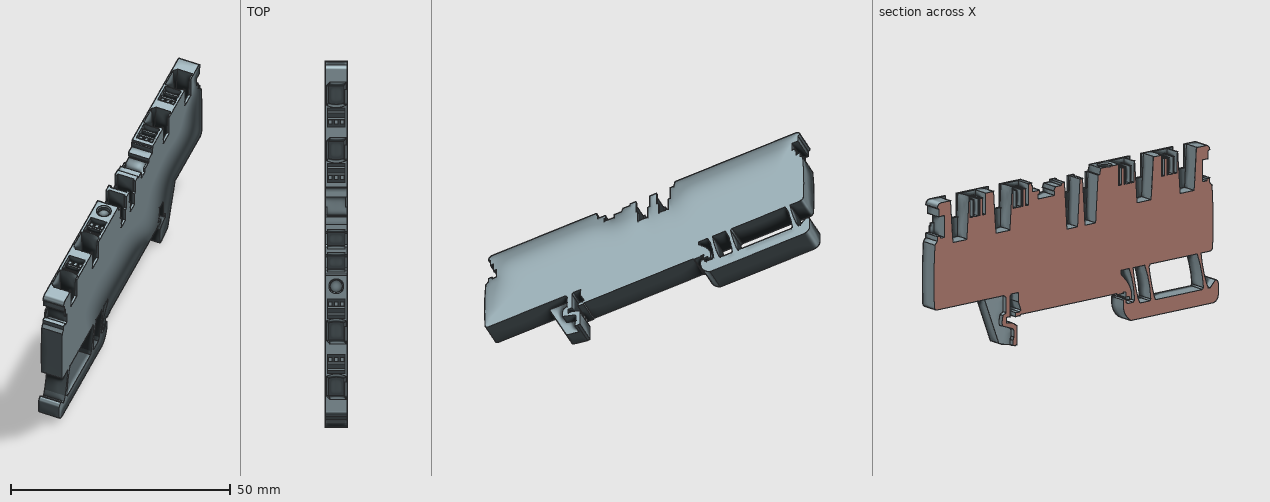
import cadquery as cq
import math

WIDTH = 5.1
LENGTH = 83.59
HEIGHT = 37.65
BODY_BOTTOM = 12.38
BODY_TOP = HEIGHT
BODY_HALF = 41.03
BODY_END = LENGTH / 2
BODY_MID = BODY_END - BODY_HALF

BODY_CORNER = 1.0
END_BOW = 0.12
END_BOW_HEIGHT = 18.0
END_SHOULDER = 27.9

CROWN_START = (1.0, 36.5)
CROWN_MIDDLE = (1.35, 37.3)
CROWN_END = (2.2, BODY_TOP)

SKIN = 0.4
INNER_WIDTH = WIDTH - 2 * SKIN
SKIN_CUT = SKIN + 0.01
LEFT_SKIN = -WIDTH / 2
RIGHT_SKIN = WIDTH / 2

END_GROOVE_BOTTOM = 29.3
END_GROOVE_TOP = 34.35
END_GROOVE_SPLIT = 31.95
END_GROOVE_DEPTH = 3.05
END_GROOVE_LIP = 2.0

SADDLE_FLOOR = 34.6
SADDLE_SHELF = 35.6
SADDLE_GROOVE_FLOOR = 33.6
SADDLE_GROOVE_START = 6.44
SADDLE_GROOVE_SPLIT = 8.46
SADDLE_GROOVE_END = 11.1
RIDGE_TOP = 36.15

SLOT_PITCH = 5.3
FIRST_SLOT = 1.14
SLOT_COUNT = 2
SLOT_WIDTH = 3.54
SLOT_NECK_WIDTH = 2.53
SLOT_FLOOR = 28.8
SLOT_STEP = 32.35
SLOT_STEP_RISE = 0.3
SLOT_RELIEF_LENGTH = 4.6
SLOT_RELIEF_FLOOR_LENGTH = 3.0
SLOT_RELIEF_FLOOR = 25.0
SLOT_RELIEF_WIDTH = 3.9

ENTRY_PITCH = 12.63
ENTRY_COUNT = 2
ENTRY_OUTER = 36.2
ENTRY_LENGTH = 5.3
ENTRY_WIDTH = 4.4
ENTRY_ARC_RISE = 0.55
ENTRY_CHAMFER = 0.8
ENTRY_DEPTH = 10.0
ENTRY_FLOOR_LENGTH = 3.9
ENTRY_FLOOR_WIDTH = 3.5
ENTRY_FLOOR_INSET = 0.9
ENTRY_FLOOR_CHAMFER = 0.1
ENTRY_FLOOR_ARC_RISE = 0.3
ENTRY_WINDOW_DEPTH = 5.5
FAR_WINDOW_START = 1.7
NEAR_WINDOW_START = 0.6
ENTRY_WINDOW_LENGTH = 3.4

CLAMP_OUTER = 30.3
CLAMP_LENGTH = 4.4
CLAMP_WIDTH = 3.9
CLAMP_DEPTH = 5.0
CLAMP_BAR_DROP = 1.0
CLAMP_BAR_LENGTH = 0.45
CLAMP_BAR_OFFSETS = (0.7, 2.2)
CLAMP_POST_OFFSET = 3.25
CLAMP_POST_LENGTH = 0.9
CLAMP_POST_WIDTH = 0.8
CLAMP_POST_PITCH = 1.35

TEST_HOLE_Y = -9.6
TEST_HOLE_DIAMETER = 2.8
TEST_HOLE_CHAMFER = 0.3
TEST_HOLE_DEPTH = 1.2

RAIL_FACE = 7.08
FOOT_WEB_RECESS = 2.0
FOOT_BAR_TOP = 3.79
FOOT_CORNER = 1.75


def plate(profile):
    """Extrude a closed YZ profile over the full width."""
    return profile.extrude(WIDTH)


def side_sketch(x=LEFT_SKIN):
    return cq.Workplane("YZ", origin=(x, 0, 0))


def block(x, y, z):
    """Box from (low, high) pairs along each axis."""
    size = (x[1] - x[0], y[1] - y[0], z[1] - z[0])
    return cq.Workplane().box(*size, centered=False).translate((x[0], y[0], z[0]))


def end_point(side, inward, z):
    """Point a given distance inward from one end of the body; side is +1 or -1 along Y."""
    return (BODY_MID + side * (BODY_HALF - inward), z)


def body_end_points(side):
    """Stepped upper end outline, upward from the shoulder; side is +1 or -1 along Y."""
    inward_and_height = [
        (0.3, END_SHOULDER),
        (1.0, 28.7),
        (1.0, 29.8),
        (END_GROOVE_LIP, 29.8),
        (END_GROOVE_LIP, 31.3),
        (2.27, 31.3),
        (2.27, END_GROOVE_TOP),
        (1.5, END_GROOVE_TOP),
        (1.5, 36.15),
        CROWN_START,
    ]
    return [end_point(side, *place) for place in inward_and_height]


def saddle_points():
    """Top edge between the two raised halves, from +Y to -Y, before the slots are cut."""
    return [
        (13.0, BODY_TOP),
        (13.0, 37.05),
        (12.75, 36.9),
        (12.75, SADDLE_SHELF),
        (10.73, SADDLE_SHELF),
        (10.73, SADDLE_FLOOR),
        (6.6, SADDLE_FLOOR),
        (6.2, SADDLE_SHELF),
        (4.42, SADDLE_SHELF),
        (4.42, RIDGE_TOP),
        (-6.82, RIDGE_TOP),
        (-7.2, BODY_TOP),
    ]


def make_body():
    """Main plate: stepped upper ends, gently bowed lower ends and rounded bottom corners."""
    far_end = body_end_points(1)
    near_end = body_end_points(-1)
    near_end.reverse()
    low = BODY_BOTTOM + BODY_CORNER
    sag = BODY_CORNER * (1 - math.sqrt(0.5))
    far = BODY_MID + BODY_HALF - END_BOW
    near = BODY_MID - BODY_HALF + END_BOW
    outline = (
        side_sketch()
        .polyline(far_end)
        .threePointArc(end_point(1, *CROWN_MIDDLE), end_point(1, *CROWN_END))
        .polyline(saddle_points(), includeCurrent=True)
        .lineTo(*end_point(-1, *CROWN_END))
        .threePointArc(end_point(-1, *CROWN_MIDDLE), near_end[0])
        .polyline(near_end)
        .threePointArc((near - END_BOW, END_BOW_HEIGHT), (near, low))
        .threePointArc((near + sag, BODY_BOTTOM + sag), (near + BODY_CORNER, BODY_BOTTOM))
        .lineTo(far - BODY_CORNER, BODY_BOTTOM)
        .threePointArc((far - sag, BODY_BOTTOM + sag), (far, low))
        .threePointArc((far + END_BOW, END_BOW_HEIGHT), far_end[0])
        .close()
    )
    return plate(outline)


def make_rail_seat():
    """Raised pad that rests on the rail, with a catch lip at each end."""
    lip_bottom = 6.82
    seat = (
        side_sketch()
        .moveTo(17.05, BODY_BOTTOM)
        .lineTo(17.05, 10.24)
        .lineTo(16.29, 8.21)
        .lineTo(16.67, 7.83)
        .lineTo(17.8, 7.83)
        .lineTo(17.8, lip_bottom)
        .lineTo(16.41, lip_bottom)
        .lineTo(16.16, RAIL_FACE)
        .lineTo(-11.87, RAIL_FACE)
        .lineTo(-12.12, lip_bottom)
        .lineTo(-13.89, lip_bottom)
        .lineTo(-13.89, RAIL_FACE)
        .lineTo(-14.52, RAIL_FACE)
        .lineTo(-14.52, 5.81)
        .lineTo(-15.53, 5.81)
        .lineTo(-15.53, 5.05)
        .lineTo(-16.29, 5.05)
        .lineTo(-16.29, 6.9)
        .threePointArc((-15.6, 8.6), (-14.39, 10.24))
        .lineTo(-13.26, 11.5)
        .lineTo(-13.26, BODY_BOTTOM)
        .close()
    )
    return plate(seat)


def make_fixed_foot():
    """Hooked foot under the +Y half; a recess in its -X face leaves a raised strip along the hook."""
    foot = (
        side_sketch()
        .moveTo(26.14, BODY_BOTTOM)
        .lineTo(21.84, 1.01)
        .lineTo(20.96, 0.63)
        .lineTo(17.93, 0)
        .lineTo(17.3, 0.13)
        .lineTo(17.3, 4.68)
        .threePointArc((18.43, 5.43), (19.7, 5.81))
        .lineTo(20.33, 5.81)
        .lineTo(20.33, RAIL_FACE)
        .lineTo(19.32, RAIL_FACE)
        .lineTo(19.32, 12.0)
        .lineTo(18.94, BODY_BOTTOM)
        .close()
    )
    recess = (
        side_sketch()
        .moveTo(27.0, BODY_BOTTOM)
        .lineTo(21.46, BODY_BOTTOM)
        .threePointArc((20.85, 12.15), (20.58, 11.5))
        .lineTo(20.58, 8.3)
        .lineTo(21.5, 7.8)
        .threePointArc((21.75, 6.6), (21.7, 5.3))
        .lineTo(18.85, 4.2)
        .threePointArc((18.42, 3.85), (18.31, 3.3))
        .lineTo(18.31, 2.15)
        .lineTo(18.56, 1.39)
        .lineTo(18.56, -1.0)
        .lineTo(27.0, -1.0)
        .close()
    )
    return plate(foot).cut(recess.extrude(FOOT_WEB_RECESS))


def make_spring_foot():
    """Sliding latch under the -Y half: a bar hung from the body on three bent legs."""
    corner_sag = FOOT_CORNER * (1 - math.sqrt(0.5))
    outline = (
        side_sketch()
        .moveTo(-15.53, BODY_BOTTOM)
        .threePointArc((-16.54, 8.9), (-17.05, 5.4))
        .lineTo(-17.05, 4.68)
        .lineTo(-16.67, 4.3)
        .lineTo(-15.15, 4.3)
        .lineTo(-14.77, 4.68)
        .lineTo(-14.77, 5.31)
        .lineTo(-14.27, 5.56)
        .lineTo(-13.76, 5.31)
        .lineTo(-13.76, 3.92)
        .threePointArc((-14.4, 1.75), (-16.16, 0))
        .lineTo(-BODY_END + FOOT_CORNER, 0)
        .threePointArc((-BODY_END + corner_sag, corner_sag), (-BODY_END, FOOT_CORNER))
        .lineTo(-BODY_END, 4.35)
        .threePointArc((-41.5, 5.1), (-40.8, 5.4))
        .lineTo(-39.6, 4.1)
        .lineTo(-39.3, FOOT_BAR_TOP)
        .lineTo(-38.89, FOOT_BAR_TOP)
        .lineTo(-38.3, 5.1)
        .threePointArc((-37.5, 7.95), (-36.74, BODY_BOTTOM))
        .close()
    )
    small_window = (
        side_sketch()
        .moveTo(-16.79, BODY_BOTTOM)
        .lineTo(-20.08, BODY_BOTTOM)
        .threePointArc((-21.3, 8.3), (-21.84, 4.17))
        .lineTo(-21.59, FOOT_BAR_TOP)
        .lineTo(-18.81, FOOT_BAR_TOP)
        .lineTo(-18.35, 4.6)
        .threePointArc((-17.5, 8.0), (-16.79, BODY_BOTTOM))
        .close()
    )
    large_window = (
        side_sketch()
        .moveTo(-21.84, BODY_BOTTOM)
        .lineTo(-35.48, BODY_BOTTOM)
        .threePointArc((-36.74, 8.1), (-37.3, 4.17))
        .lineTo(-36.99, FOOT_BAR_TOP)
        .lineTo(-23.36, FOOT_BAR_TOP)
        .lineTo(-22.98, 4.6)
        .threePointArc((-22.1, 8.2), (-21.46, 11.9))
        .close()
    )
    return plate(outline).cut(plate(small_window)).cut(plate(large_window))


def end_groove_cut(side):
    """Label groove in one end, with one window through each side skin."""
    y_floor = BODY_MID + side * (BODY_HALF - END_GROOVE_DEPTH)
    y_open = BODY_MID + side * (BODY_HALF - END_GROOVE_LIP)
    y_range = (min(y_floor, y_open), max(y_floor, y_open))
    lower = (END_GROOVE_BOTTOM, END_GROOVE_SPLIT)
    upper = (END_GROOVE_SPLIT, END_GROOVE_TOP)
    left_window, right_window = (lower, upper) if side > 0 else (upper, lower)
    groove = block((-INNER_WIDTH / 2, INNER_WIDTH / 2), y_range, (END_GROOVE_BOTTOM, END_GROOVE_TOP))
    left = block((LEFT_SKIN, LEFT_SKIN + SKIN_CUT), y_range, left_window)
    right = block((RIGHT_SKIN - SKIN_CUT, RIGHT_SKIN), y_range, right_window)
    return groove.union(left).union(right)


def saddle_groove_cut():
    """Label groove in the saddle floor, with one window through each side skin."""
    z_range = (SADDLE_GROOVE_FLOOR, SADDLE_FLOOR)
    far = (SADDLE_GROOVE_SPLIT, SADDLE_GROOVE_END)
    near = (SADDLE_GROOVE_START, SADDLE_GROOVE_SPLIT)
    whole = (SADDLE_GROOVE_START, SADDLE_GROOVE_END)
    groove = block((-INNER_WIDTH / 2, INNER_WIDTH / 2), whole, z_range)
    left = block((LEFT_SKIN, LEFT_SKIN + SKIN_CUT), far, z_range)
    right = block((RIGHT_SKIN - SKIN_CUT, RIGHT_SKIN), near, z_range)
    return groove.union(left).union(right)


def jumper_slot_cut(y):
    """Through slot with a narrower neck; a deeper tapered relief leaves thin frames at both sides."""
    half_top = SLOT_WIDTH / 2
    half_neck = SLOT_NECK_WIDTH / 2
    step_high = SLOT_STEP + SLOT_STEP_RISE / 2
    step_low = SLOT_STEP - SLOT_STEP_RISE / 2
    through_outline = [
        (y - half_top, BODY_TOP),
        (y - half_top, step_high),
        (y - half_neck, step_low),
        (y - half_neck, SLOT_FLOOR),
        (y + half_neck, SLOT_FLOOR),
        (y + half_neck, step_low),
        (y + half_top, step_high),
        (y + half_top, BODY_TOP),
    ]
    relief_outline = [
        (y - SLOT_RELIEF_LENGTH / 2, BODY_TOP),
        (y - SLOT_RELIEF_FLOOR_LENGTH / 2, SLOT_RELIEF_FLOOR),
        (y + SLOT_RELIEF_FLOOR_LENGTH / 2, SLOT_RELIEF_FLOOR),
        (y + SLOT_RELIEF_LENGTH / 2, BODY_TOP),
    ]
    through = plate(side_sketch().polyline(through_outline).close())
    relief = side_sketch(-SLOT_RELIEF_WIDTH / 2).polyline(relief_outline).close()
    return through.union(relief.extrude(SLOT_RELIEF_WIDTH))


def wire_entry_cut(outer, window_start):
    """Tapered funnel with a window through the +X side, placed by its outer distance from the middle."""
    y_outer = BODY_MID + outer
    y_inner = y_outer - ENTRY_LENGTH
    half = ENTRY_WIDTH / 2
    floor_outer = y_outer - ENTRY_FLOOR_INSET
    floor_inner = floor_outer - ENTRY_FLOOR_LENGTH
    floor_half = ENTRY_FLOOR_WIDTH / 2

    def mouth(plane, x, y_high, y_low, chamfer, rise):
        return (
            plane.moveTo(x, y_high)
            .lineTo(-x + chamfer, y_high)
            .lineTo(-x, y_high - chamfer)
            .lineTo(-x, y_low)
            .threePointArc((0, y_low - rise), (x, y_low))
            .close()
        )

    top = cq.Workplane("XY", origin=(0, 0, BODY_TOP))
    sketch = mouth(top, half, y_outer, y_inner, ENTRY_CHAMFER, ENTRY_ARC_RISE)
    bottom = sketch.workplane(offset=-ENTRY_DEPTH)
    funnel = mouth(
        bottom, floor_half, floor_outer, floor_inner, ENTRY_FLOOR_CHAMFER, ENTRY_FLOOR_ARC_RISE
    ).loft(ruled=True)
    window_end = y_outer - window_start
    window = block(
        (0, RIGHT_SKIN),
        (window_end - ENTRY_WINDOW_LENGTH, window_end),
        (BODY_TOP - ENTRY_WINDOW_DEPTH, BODY_TOP),
    )
    return funnel.union(window)


def clamp_cut(outer):
    """Rectangular clamp opening, with bars and contact posts left inside."""
    y_outer = BODY_MID + outer
    half = CLAMP_WIDTH / 2
    floor = BODY_TOP - CLAMP_DEPTH
    part_top = BODY_TOP - CLAMP_BAR_DROP
    opening = block((-half, half), (y_outer - CLAMP_LENGTH, y_outer), (floor, BODY_TOP))
    for offset in CLAMP_BAR_OFFSETS:
        y_bar = y_outer - offset
        opening = opening.cut(block((-half, half), (y_bar - CLAMP_BAR_LENGTH, y_bar), (floor, part_top)))
    y_post = y_outer - CLAMP_POST_OFFSET
    y_range = (y_post - CLAMP_POST_LENGTH / 2, y_post + CLAMP_POST_LENGTH / 2)
    for step in (-1, 0, 1):
        x = step * CLAMP_POST_PITCH
        x_range = (x - CLAMP_POST_WIDTH / 2, x + CLAMP_POST_WIDTH / 2)
        opening = opening.cut(block(x_range, y_range, (floor, part_top)))
    return opening


def mirror_lengthwise(shape):
    return shape.mirror("XZ", (0, BODY_MID, 0))


def test_hole_cut():
    radius = TEST_HOLE_DIAMETER / 2
    hole = cq.Workplane("XY", origin=(0, TEST_HOLE_Y, BODY_TOP)).circle(radius).extrude(-TEST_HOLE_DEPTH)
    cone = cq.Solid.makeCone(radius, radius + TEST_HOLE_CHAMFER, TEST_HOLE_CHAMFER)
    return hole.union(cq.Workplane(cone.translate((0, TEST_HOLE_Y, BODY_TOP - TEST_HOLE_CHAMFER))))


result = make_body().union(make_rail_seat()).union(make_fixed_foot()).union(make_spring_foot())

for end_side in (1, -1):
    result = result.cut(end_groove_cut(end_side))

result = result.cut(saddle_groove_cut())

for slot in range(SLOT_COUNT):
    result = result.cut(jumper_slot_cut(FIRST_SLOT - slot * SLOT_PITCH))

for row in range(ENTRY_COUNT):
    entry_outer = ENTRY_OUTER - row * ENTRY_PITCH
    clamp = clamp_cut(CLAMP_OUTER - row * ENTRY_PITCH)
    far_cut = wire_entry_cut(entry_outer, FAR_WINDOW_START)
    near_cut = wire_entry_cut(entry_outer, NEAR_WINDOW_START)
    result = result.cut(far_cut).cut(clamp)
    result = result.cut(mirror_lengthwise(near_cut)).cut(mirror_lengthwise(clamp))

result = result.cut(test_hole_cut())